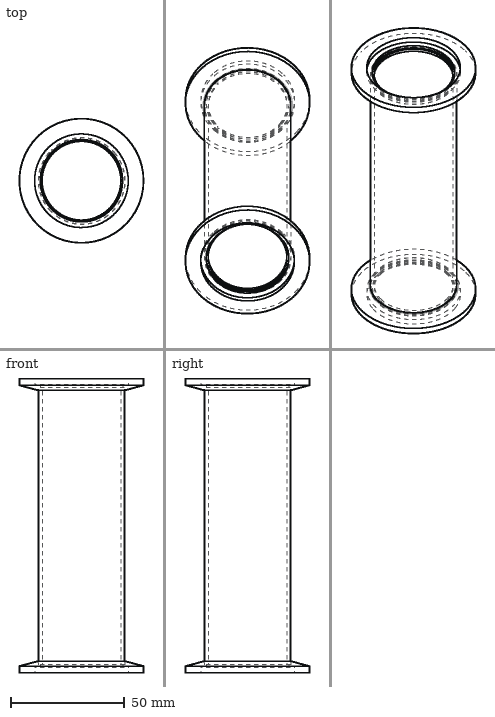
import cadquery as cq

total_length = 130.05

tube_outer_diameter = 38.1
tube_bore_diameter = 34.8

flange_diameter = 54.99
flange_thickness = 5.08
flange_rim_height = 3.0
flange_hub_diameter = 39.7
recess_diameter = 41.4
recess_depth = 2.54
lip_bore_diameter = 36.45
lip_thickness = 1.27
socket_diameter = 38.35
socket_level = recess_depth + lip_thickness


def make_tube():
    """Plain tube standing between the backs of the two flanges."""
    return (
        cq.Workplane("XY")
        .workplane(offset=flange_thickness)
        .circle(tube_outer_diameter / 2)
        .circle(tube_bore_diameter / 2)
        .extrude(total_length - 2 * flange_thickness)
    )


def make_flange():
    """Bottom flange: flat rim, conical back, open recess, inner lip and a socket behind the lip."""
    outline = [
        (recess_diameter / 2, 0),
        (flange_diameter / 2, 0),
        (flange_diameter / 2, flange_rim_height),
        (flange_hub_diameter / 2, flange_thickness),
        (socket_diameter / 2, flange_thickness),
        (socket_diameter / 2, socket_level),
        (lip_bore_diameter / 2, socket_level),
        (lip_bore_diameter / 2, recess_depth),
        (recess_diameter / 2, recess_depth),
    ]
    return cq.Workplane("XZ").polyline(outline).close().revolve(360, (0, 0, 0), (0, 1, 0))


def make_weld_ring():
    """Bottom weld ring: fills the flange socket between the lip and the tube end."""
    return (
        cq.Workplane("XY")
        .workplane(offset=socket_level)
        .circle(socket_diameter / 2)
        .circle(tube_bore_diameter / 2)
        .extrude(flange_thickness - socket_level)
    )


def mirrored_to_top(body):
    """Copy of a bottom-end body placed at the top end, facing the other way."""
    return body.mirror("XY").translate((0, 0, total_length))


bodies = [make_tube().val()]
for make_end_body in (make_flange, make_weld_ring):
    bottom_body = make_end_body()
    top_body = mirrored_to_top(bottom_body)
    bodies += [bottom_body.val(), top_body.val()]

result = cq.Compound.makeCompound(bodies)